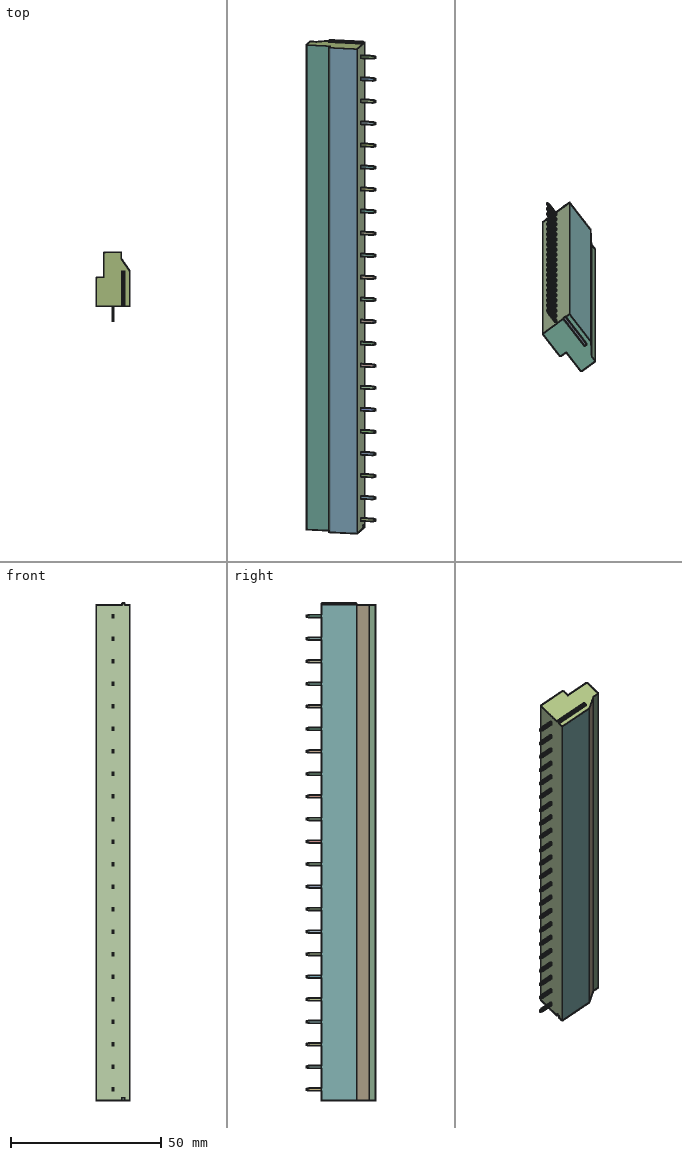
import cadquery as cq

pin_count = 22
body_height = 165.0
body_width = 11.3
body_depth = 18.0
step_width = 2.5
step_depth = 9.8
crown_width = 6.0
slope_top = 15.9
slope_bottom = 11.8
edge_radius = 0.5

tongue_height = 0.7
rail_width = 1.0
rail_length = 11.8
rail_x = 9.1
tongue_chamfer = 0.25
groove_depth = 1.0

pitch = body_height / pin_count
pin_length = 5.0
pin_thickness = 0.7
pin_width = 1.0
pin_tip_length = 0.91
pin_tip_thickness = 0.3
pin_tip_width = 0.5
pin_x = body_width / 2
pin_root = 0.8


def make_housing():
    profile = [
        (0, 0),
        (body_width, 0),
        (body_width, slope_bottom),
        (step_width + crown_width, slope_top),
        (step_width + crown_width, body_depth),
        (step_width, body_depth),
        (step_width, step_depth),
        (0, step_depth),
    ]
    housing = cq.Workplane("XY").polyline(profile).close().extrude(body_height)
    for corner in [(0, step_depth), (step_width, body_depth)]:
        edge_middle = (*corner, body_height / 2)
        housing = housing.edges(cq.NearestToPointSelector(edge_middle)).fillet(edge_radius)
    return housing


def make_rail(bottom_z, height):
    """Bar along Y from the -Y face, used for both tongue and groove."""
    return (
        cq.Workplane("XY")
        .box(rail_width, rail_length, height, centered=(True, False, False))
        .translate((rail_x, 0, bottom_z))
    )


def make_pin(z):
    """Rectangular pin pointing to -Y with a tapered tip."""
    shank_length = pin_length - pin_tip_length
    shank = (
        cq.Workplane("XZ", origin=(pin_x, pin_root, z))
        .rect(pin_thickness, pin_width)
        .extrude(pin_root + shank_length)
    )
    tip = (
        cq.Workplane("XZ", origin=(pin_x, -shank_length, z))
        .rect(pin_thickness, pin_width)
        .workplane(offset=pin_tip_length)
        .rect(pin_tip_thickness, pin_tip_width)
        .loft()
    )
    return shank.union(tip)


result = make_housing()
tongue = make_rail(body_height, tongue_height).faces(">Z").edges().chamfer(tongue_chamfer)
result = result.union(tongue)
result = result.cut(make_rail(0, groove_depth))
for index in range(pin_count):
    result = result.union(make_pin((index + 0.5) * pitch))